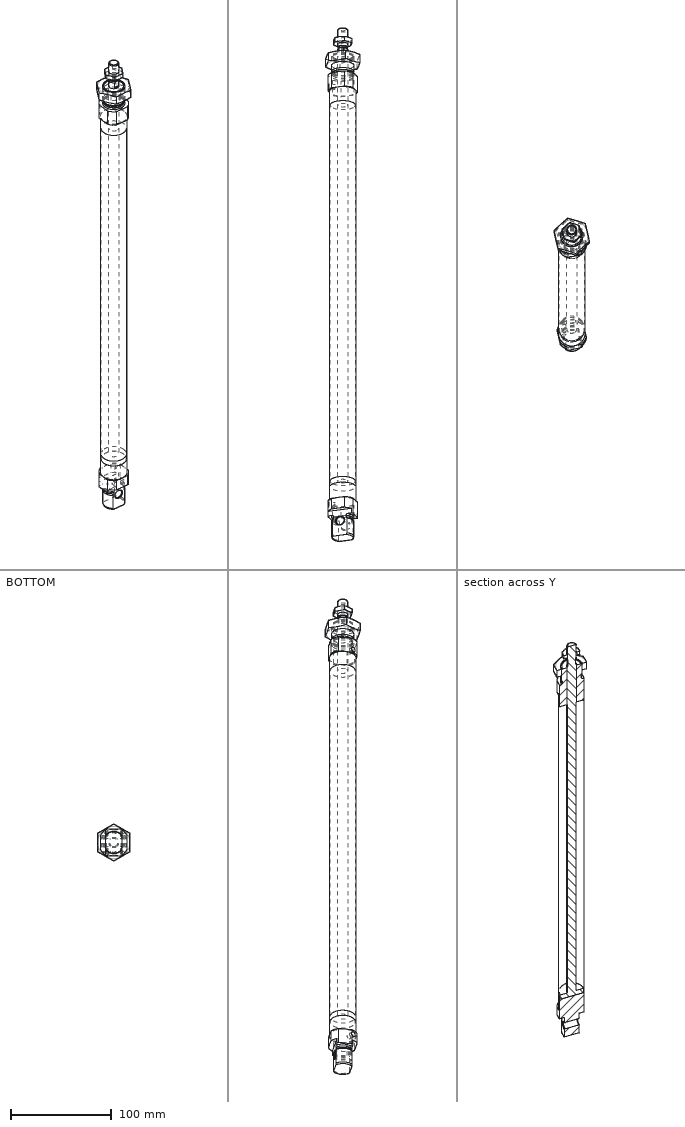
import cadquery as cq
import math


total_height = 541.5
slab_bottom = 22.0
bottom_cap_shoulder = 27.0
bottom_cap_top = 38.5
piston_bottom = 54.5
piston_top = 60.5
bore_top = 461.0
top_cap_bottom = 475.5
top_cap_top = 491.5
neck_top = 513.0

barrel_diameter = 26.5
bore_diameter = 25.0
cap_diameter = 30.0
cap_across_flats = barrel_diameter

thread_diameter = 22.0
relief_diameter = 20.5
relief_height = 5.0
relief_taper = 1.5
neck_chamfer = 1.35

tongue_thickness = 16.0
tongue_end_chamfer_height = 1.5
tongue_end_chamfer_width = 0.5
tongue_hole_diameter = 8.0
tongue_hole_chamfer = 0.8
tongue_hole_height = 15.5

port_diameter = 5.0
port_depth = 6.5
port_angle = 125.0
top_port_height = 479.0
bottom_port_height = 34.0

rod_diameter = 2 * 5.0
rod_chamfer = 0.9
rod_groove_diameter = 8.0
rod_groove_bottom = 521.0
rod_groove_top = 522.5
rod_shoulder_chamfer = (rod_diameter - rod_groove_diameter) / 2
rod_across_flats = 8.5
rod_flats_bottom = 514.5

mounting_nut_across_flats = 32.0
mounting_nut_thickness = 10.0
rod_nut_across_flats = 17.5
rod_nut_thickness = 5.0
rod_nut_bottom = 526.0
nut_chamfer_angle = 15.0


def cylinder(diameter, bottom, top):
    """Solid cylinder on the Z axis between two heights."""
    return cq.Workplane("XY").workplane(offset=bottom).circle(diameter / 2).extrude(top - bottom)


def block(size_x, size_y, bottom, top):
    """Rectangular block centred on the Z axis between two heights."""
    return cq.Workplane("XY").workplane(offset=bottom).rect(size_x, size_y).extrude(top - bottom)


def relief_groove(bottom):
    """Ring that cuts a thread relief with tapered ends."""
    inner = relief_diameter / 2
    outer = thread_diameter / 2
    top = bottom + relief_height
    profile = [
        (inner, bottom + relief_taper),
        (outer, bottom),
        (outer, top),
        (inner, top - relief_taper),
    ]
    return cq.Workplane("XZ").polyline(profile).close().revolve(360, (0, 0, 0), (0, 1, 0))


def end_cap(bottom, top):
    """Round cap with four flats."""
    flats = block(cap_across_flats, cap_across_flats, bottom, top)
    return cylinder(cap_diameter, bottom, top).intersect(flats)


def tongue():
    """Threaded stub milled flat on both X sides, with a relief and a countersunk cross hole."""
    stub = cylinder(thread_diameter, 0, slab_bottom)
    stub = stub.faces("<Z").chamfer(tongue_end_chamfer_height, tongue_end_chamfer_width)
    stub = stub.cut(relief_groove(slab_bottom - relief_height))
    stub = stub.intersect(block(tongue_thickness, thread_diameter, 0, slab_bottom))
    hole = (
        cq.Workplane("YZ")
        .center(0, tongue_hole_height)
        .circle(tongue_hole_diameter / 2)
        .extrude(tongue_thickness / 2, both=True)
    )
    for side in (-1, 1):
        countersink = cq.Solid.makeCone(
            tongue_hole_diameter / 2 + tongue_hole_chamfer,
            tongue_hole_diameter / 2,
            tongue_hole_chamfer,
            cq.Vector(side * tongue_thickness / 2, 0, tongue_hole_height),
            cq.Vector(-side, 0, 0),
        )
        hole = hole.union(cq.Workplane(countersink))
    return stub.cut(hole)


def port(height):
    """Radial air port in a rounded corner of an end cap."""
    angle = math.radians(port_angle)
    outward = cq.Vector(math.cos(angle), math.sin(angle), 0)
    start = outward * (cap_diameter / 2 - port_depth) + cq.Vector(0, 0, height)
    return cq.Workplane(cq.Solid.makeCylinder(port_diameter / 2, 2 * port_depth, start, outward))


def make_housing():
    """Barrel, both end caps, threaded neck and tongue, bored for the rod and piston."""
    neck = cylinder(thread_diameter, top_cap_top, neck_top).faces(">Z").chamfer(neck_chamfer)
    neck = neck.cut(relief_groove(top_cap_top))
    slab = end_cap(slab_bottom, bottom_cap_shoulder).intersect(
        block(tongue_thickness, cap_diameter, slab_bottom, bottom_cap_shoulder)
    )
    housing = (
        cylinder(barrel_diameter, bottom_cap_top, top_cap_bottom)
        .union(end_cap(top_cap_bottom, top_cap_top))
        .union(end_cap(bottom_cap_shoulder, bottom_cap_top))
        .union(slab)
        .union(neck)
        .union(tongue())
    )
    housing = housing.cut(cylinder(bore_diameter, piston_bottom, bore_top))
    housing = housing.cut(cylinder(rod_diameter, bore_top, neck_top))
    for height in (bottom_port_height, top_port_height):
        housing = housing.cut(port(height))
    return housing


def make_rod():
    """Piston and rod: wrench flats and a relief groove below the threaded end."""
    shank = cylinder(rod_diameter, piston_top, rod_groove_bottom)
    shank = shank.faces(">Z").chamfer(rod_shoulder_chamfer)
    for side in (-1, 1):
        flat_cut = block(rod_diameter, rod_diameter, rod_flats_bottom, rod_groove_bottom)
        shank = shank.cut(flat_cut.translate((side * (rod_across_flats + rod_diameter) / 2, 0, 0)))
    groove = cylinder(rod_groove_diameter, rod_groove_bottom, rod_groove_top)
    threaded_end = cylinder(rod_diameter, rod_groove_top, total_height).faces(">Z").chamfer(rod_chamfer)
    return (
        shank.union(groove)
        .union(threaded_end)
        .union(cylinder(bore_diameter, piston_bottom, piston_top))
    )


def make_nut(across_flats, thickness, bottom, hole_diameter):
    """Hexagon nut with corners on the Y axis, chamfered on both faces."""
    corner_radius = across_flats / math.sqrt(3)
    drop = (corner_radius - across_flats / 2) * math.tan(math.radians(nut_chamfer_angle))
    hexagon = (
        cq.Workplane("XY")
        .polygon(6, 2 * corner_radius)
        .extrude(thickness)
        .rotate((0, 0, 0), (0, 0, 1), 90)
    )
    profile = [
        (0, 0),
        (across_flats / 2, 0),
        (corner_radius, drop),
        (corner_radius, thickness - drop),
        (across_flats / 2, thickness),
        (0, thickness),
    ]
    turned = cq.Workplane("XZ").polyline(profile).close().revolve(360, (0, 0, 0), (0, 1, 0))
    nut = hexagon.intersect(turned).translate((0, 0, bottom))
    return nut.cut(cylinder(hole_diameter, bottom, bottom + thickness))


housing = make_housing()
rod = make_rod()
mounting_nut = make_nut(
    mounting_nut_across_flats, mounting_nut_thickness, neck_top - mounting_nut_thickness, thread_diameter
)
rod_nut = make_nut(rod_nut_across_flats, rod_nut_thickness, rod_nut_bottom, rod_diameter)

result = cq.Compound.makeCompound([housing.val(), rod.val(), mounting_nut.val(), rod_nut.val()])